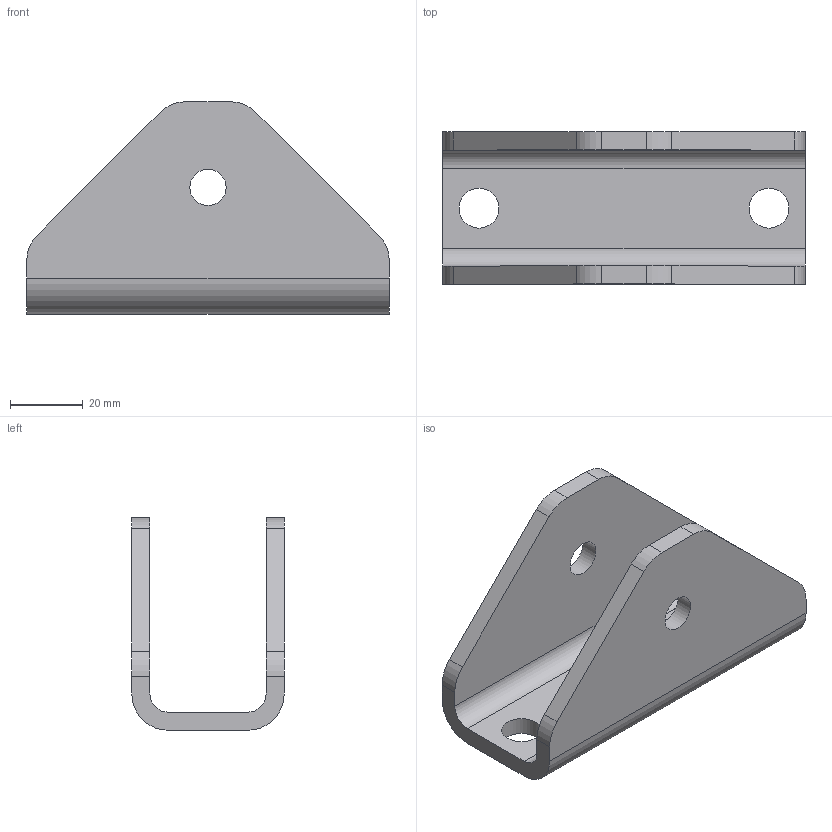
import cadquery as cq

length = 100.0
width = 42.0
height = 58.62

thickness = 5.0
outer_bend_radius = 10.0
inner_bend_radius = outer_bend_radius - thickness

slope_top_half_width = 10.3
slope_drop = length / 2 - slope_top_half_width
shoulder_height = height - slope_drop
corner_radius = 10.0

pivot_hole_diameter = 10.0
pivot_hole_height = 35.0
base_hole_diameter = 11.0
base_hole_spacing = 80.0


def block(size_y, bottom_z):
    """Full-length box centred on X and Y, from bottom_z up to the top of the part."""
    return cq.Workplane("XY", origin=(0, 0, bottom_z)).box(
        length, size_y, height - bottom_z, centered=(True, True, False)
    )


def make_channel():
    """U-shaped channel along X with rounded bends."""
    outer = block(width, 0).edges("|X and <Z").fillet(outer_bend_radius)
    inner = block(width - 2 * thickness, thickness).edges("|X and <Z").fillet(inner_bend_radius)
    return outer.cut(inner)


def make_side_outline():
    """Side plate silhouette, extruded across the full width of the channel."""
    half_length = length / 2
    outline = (
        cq.Workplane("XZ")
        .moveTo(-half_length, 0)
        .lineTo(half_length, 0)
        .lineTo(half_length, shoulder_height)
        .lineTo(slope_top_half_width, height)
        .lineTo(-slope_top_half_width, height)
        .lineTo(-half_length, shoulder_height)
        .close()
        .extrude(width / 2, both=True)
    )
    return outline.edges("|Y and (not <Z)").fillet(corner_radius)


def make_pivot_hole():
    """Cross hole through both side plates."""
    return (
        cq.Workplane("XZ")
        .center(0, pivot_hole_height)
        .circle(pivot_hole_diameter / 2)
        .extrude(width / 2, both=True)
    )


def make_base_holes():
    """Pair of mounting holes through the base."""
    half_spacing = base_hole_spacing / 2
    return (
        cq.Workplane("XY")
        .pushPoints([(-half_spacing, 0), (half_spacing, 0)])
        .circle(base_hole_diameter / 2)
        .extrude(thickness)
    )


bracket = make_channel().intersect(make_side_outline())
result = bracket.cut(make_pivot_hole()).cut(make_base_holes())